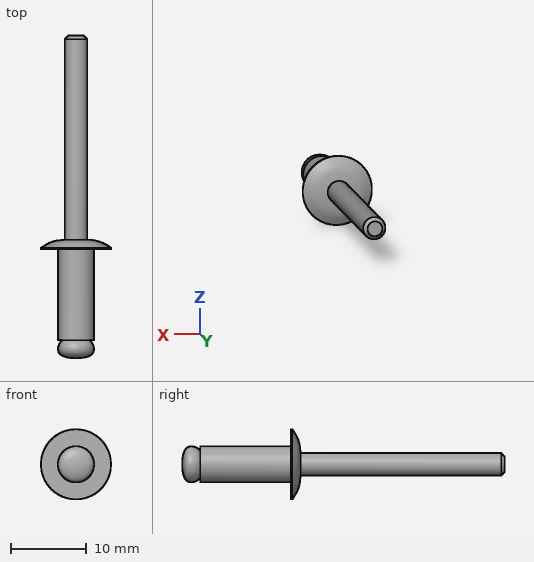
import cadquery as cq
import math

sleeve_radius = 4.8 / 2
sleeve_length = 12.0

flange_radius = 9.3 / 2
flange_height = 1.3
flange_rim = 0.2

stem_radius = 3.0 / 2
stem_length = 27.0
stem_chamfer = 0.5

head_length = 2.4
head_radius = sleeve_radius
head_seat_radius = 1.85
head_tip_height = head_length / 2
head_end_directions = [(1, 0), (-1, 1)]


def revolve_about_y(profile):
    """Close a half profile drawn in XY and spin it around the Y axis."""
    return profile.close().revolve(360, (0, 0, 0), (0, 1, 0))


def tangent_arc_radius(run, rise):
    """Radius of an arc that starts along `run` and has left it by `rise` at its end."""
    return (run**2 + rise**2) / (2 * rise)


def make_sleeve():
    """Plain cylinder running from the flange toward -Y."""
    profile = (
        cq.Workplane("XY")
        .lineTo(sleeve_radius, 0)
        .lineTo(sleeve_radius, -sleeve_length)
        .lineTo(0, -sleeve_length)
    )
    return revolve_about_y(profile)


def make_flange():
    """Thin straight rim with a dome that levels out at the stem."""
    run = flange_radius - stem_radius
    rise = flange_height - flange_rim
    dome_radius = tangent_arc_radius(run, rise)
    half_sweep = math.asin(run / dome_radius) / 2
    dome_middle = (
        stem_radius + dome_radius * math.sin(half_sweep),
        flange_height - dome_radius * (1 - math.cos(half_sweep)),
    )
    profile = (
        cq.Workplane("XY")
        .lineTo(flange_radius, 0)
        .lineTo(flange_radius, flange_rim)
        .threePointArc(dome_middle, (stem_radius, flange_height))
        .lineTo(0, flange_height)
    )
    return revolve_about_y(profile)


def make_stem():
    """Mandrel stem toward +Y, chamfered at its free end."""
    stem_end = flange_height + stem_length
    profile = (
        cq.Workplane("XY")
        .lineTo(stem_radius, 0)
        .lineTo(stem_radius, stem_end)
        .lineTo(0, stem_end)
    )
    return revolve_about_y(profile).faces(">Y").edges().chamfer(stem_chamfer)


def make_head():
    """Mandrel head: one smooth curve from the tip, over the widest ring, to the sleeve."""
    seat_y = -sleeve_length
    tip_y = seat_y - head_length
    widest_point = (head_radius, tip_y + head_tip_height)
    seat_point = (head_seat_radius, seat_y)
    profile = (
        cq.Workplane("XY")
        .moveTo(0, tip_y)
        .spline([widest_point, seat_point], tangents=head_end_directions, includeCurrent=True)
        .lineTo(0, seat_y)
    )
    return revolve_about_y(profile)


result = make_sleeve().union(make_flange()).union(make_stem()).union(make_head())